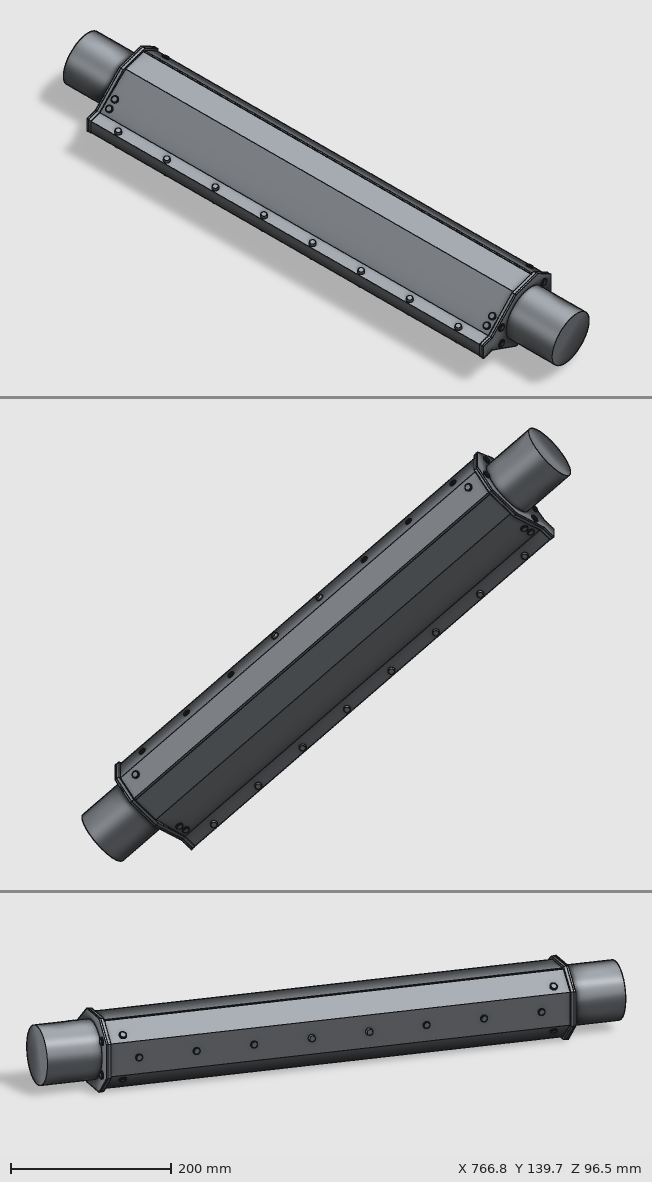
import cadquery as cq

TOTAL_LENGTH = 766.78
TOTAL_HEIGHT = 96.52
BODY_LENGTH = 609.6
FRONT_Y = -84.3
TOTAL_DEPTH = 139.7
HIGHEST_HEAD_Y = FRONT_Y + TOTAL_DEPTH

STUB_DIAMETER = 76.2

CAP_HALF_HEIGHT = TOTAL_HEIGHT / 2
CAP_FLANGE = 6.35
CAP_PLATE = 2.4
FLANGE_INSET = 0.2
CAP_OVERHANG = 3.175
CAP_BACK_Y = 54.3

LIP_SETBACK = 0.3
BODY_HALF_HEIGHT = CAP_HALF_HEIGHT - CAP_OVERHANG
BODY_BACK_Y = CAP_BACK_Y - CAP_OVERHANG
BODY_FRONT_Y = FRONT_Y + LIP_SETBACK
BODY_BACK_HALF_HEIGHT = 21.5
BODY_TOP_BACK_Y = 26.5
BODY_TOP_FRONT_Y = -13.0
LIP_START_Y = -65.7
LIP_HALF_HEIGHT = 10.5

CAP_BACK_HALF_HEIGHT = 22.5
CAP_TOP_BACK_Y = 27.2
CAP_TOP_FRONT_Y = -17.5
CAP_LIP_HALF_HEIGHT = 11.5
CAP_LIP_START_Y = -66.5

SEAM_WIDTH = 2.6
SEAM_DEPTH = 0.8

HEAD_DIAMETER = 9.0
LIP_HEAD_HEIGHT = 4.0
HEAD_HEIGHT = 2.3
TALL_HEAD_HEIGHT = HIGHEST_HEAD_Y - BODY_BACK_Y
CAP_HEAD_DIAMETER = 10.5
SLOPE_HEAD_DIAMETER = 9.5
HEAD_TOP_DIAMETER = 7.6
HEAD_RIM = 1.3
HEAD_ROOT = 1.0

ROW_COUNT = 8
ROW_PITCH = 76.2
LIP_SCREW_Y = -78.0
CAP_SCREWS = ((38.8, 22.0), (-48.3, 15.0))
SLOPE_SCREW_X = 296.0
SLOPE_SCREW_YS = (-46.0, -57.5)
BACK_SLOPE_SCREW_X = 285.5
BACK_SLOPE_SCREW_Y = 43.5


def mirrored_prism(upper_outline, length, inset=0):
    """Extrude an outline, given by its upper half from back to front, about X = 0.

    The outline is first shrunk evenly by the inset.
    """
    lower_outline = [(y, -z) for y, z in reversed(upper_outline)]
    outline = upper_outline + lower_outline
    sketch = cq.Workplane("YZ").polyline(outline).close()
    if inset:
        sketch = sketch.offset2D(-inset)
    return sketch.extrude(length / 2, both=True)


def middle_block(length):
    """Block about X = 0 that is larger than the part in Y and Z."""
    return cq.Workplane("XY").box(length, 2 * TOTAL_DEPTH, 2 * TOTAL_DEPTH)


def head(point, normal, diameter, height):
    """Screw head standing on a face at the given point, along the face normal."""
    direction = cq.Vector(*normal).normalized()
    base = cq.Vector(*point) - direction * HEAD_ROOT
    rim_length = HEAD_ROOT + HEAD_RIM
    rim = cq.Solid.makeCylinder(diameter / 2, rim_length, base, direction)
    bevel_base = base + direction * rim_length
    bevel_height = height - HEAD_RIM
    bevel = cq.Solid.makeCone(diameter / 2, HEAD_TOP_DIAMETER / 2, bevel_height, bevel_base, direction)
    return rim.fuse(bevel)


def make_body():
    return mirrored_prism(
        [
            (BODY_BACK_Y, BODY_BACK_HALF_HEIGHT),
            (BODY_TOP_BACK_Y, BODY_HALF_HEIGHT - SEAM_DEPTH),
            (BODY_TOP_BACK_Y - SEAM_WIDTH, BODY_HALF_HEIGHT - SEAM_DEPTH),
            (BODY_TOP_BACK_Y - SEAM_WIDTH, BODY_HALF_HEIGHT),
            (BODY_TOP_FRONT_Y, BODY_HALF_HEIGHT),
            (LIP_START_Y, LIP_HALF_HEIGHT),
            (BODY_FRONT_Y, LIP_HALF_HEIGHT),
        ],
        BODY_LENGTH,
    )


def make_caps():
    outline = [
        (CAP_BACK_Y, CAP_BACK_HALF_HEIGHT),
        (CAP_TOP_BACK_Y, CAP_HALF_HEIGHT),
        (CAP_TOP_FRONT_Y, CAP_HALF_HEIGHT),
        (CAP_LIP_START_Y, CAP_LIP_HALF_HEIGHT),
        (FRONT_Y, CAP_LIP_HALF_HEIGHT),
    ]
    plates_length = BODY_LENGTH + 2 * CAP_FLANGE
    flanges_length = plates_length - 2 * CAP_PLATE
    plates = mirrored_prism(outline, plates_length)
    plates = plates.cut(middle_block(flanges_length))
    flanges = mirrored_prism(outline, flanges_length, inset=FLANGE_INSET)
    flanges = flanges.cut(middle_block(BODY_LENGTH))
    return plates.union(flanges)


def lip_and_back_heads():
    heads = []
    for index in range(ROW_COUNT):
        offset = index - (ROW_COUNT - 1) / 2
        x = offset * ROW_PITCH
        for side in (1, -1):
            point = (x, LIP_SCREW_Y, side * LIP_HALF_HEIGHT)
            heads.append(head(point, (0, 0, side), HEAD_DIAMETER, LIP_HEAD_HEIGHT))
        is_middle = abs(offset) < 1
        height = TALL_HEAD_HEIGHT if is_middle else HEAD_HEIGHT
        heads.append(head((x, BODY_BACK_Y, 0), (0, 1, 0), HEAD_DIAMETER, height))
    return heads


def height_on_slope(y, start, end):
    """Height at y on the straight slope between two (y, z) points."""
    fraction = (y - start[0]) / (end[0] - start[0])
    return start[1] + fraction * (end[1] - start[1])


def slope_heads():
    front_start = (BODY_TOP_FRONT_Y, BODY_HALF_HEIGHT)
    front_end = (LIP_START_Y, LIP_HALF_HEIGHT)
    back_start = (BODY_BACK_Y, BODY_BACK_HALF_HEIGHT)
    back_end = (BODY_TOP_BACK_Y, BODY_HALF_HEIGHT - SEAM_DEPTH)
    places = [(SLOPE_SCREW_X, y, front_start, front_end) for y in SLOPE_SCREW_YS]
    places.append((BACK_SLOPE_SCREW_X, BACK_SLOPE_SCREW_Y, back_start, back_end))
    heads = []
    for x, y, start, end in places:
        z = height_on_slope(y, start, end)
        normal_y = end[1] - start[1]
        normal_z = start[0] - end[0]
        for end_side in (1, -1):
            for side in (1, -1):
                point = (end_side * x, y, side * z)
                normal = (0, normal_y, side * normal_z)
                heads.append(head(point, normal, SLOPE_HEAD_DIAMETER, HEAD_HEIGHT))
    return heads


def cap_heads():
    face_x = BODY_LENGTH / 2 + CAP_FLANGE
    heads = []
    for end_side in (1, -1):
        for y, z in CAP_SCREWS:
            for side in (1, -1):
                point = (end_side * face_x, y, side * z)
                heads.append(head(point, (end_side, 0, 0), CAP_HEAD_DIAMETER, HEAD_HEIGHT))
    return heads


stubs = cq.Workplane("YZ").circle(STUB_DIAMETER / 2).extrude(TOTAL_LENGTH / 2, both=True)
result = make_body().union(make_caps()).union(stubs)
for screw_head in lip_and_back_heads() + slope_heads() + cap_heads():
    result = result.union(cq.Workplane(screw_head))